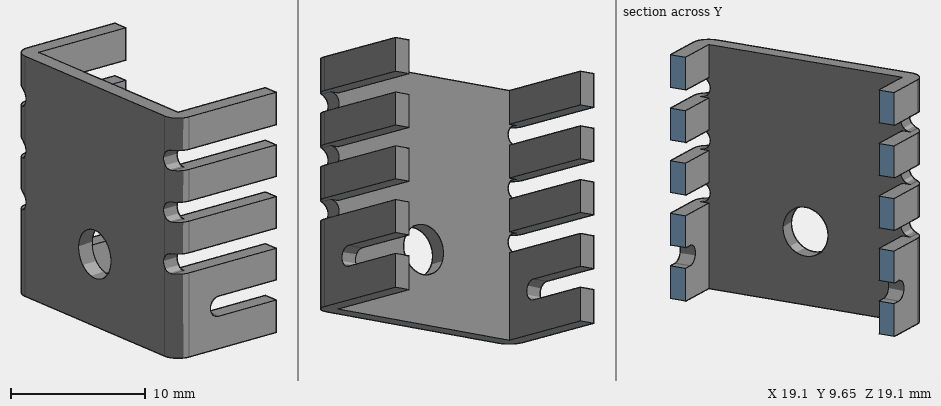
import cadquery as cq

width = 19.05
depth = 9.65
height = 19.05
thickness = 1.3

slot_count = 4
slot_width = 1.5875
slot_pitch = 4.1
notch_inset = 1.4
short_slot_length = 6.3

hole_diameter = 3.81
hole_height = 5.72

slot_radius = slot_width / 2
lowest_slot_z = height / 2 - slot_pitch * (slot_count - 1) / 2


def make_channel():
    """U channel with rounded outer bends and sharp inner corners."""
    outer = (
        cq.Workplane("XY")
        .box(width, depth, height, centered=(True, False, False))
        .edges("|Z and <Y")
        .fillet(thickness)
    )
    inner = (
        cq.Workplane("XY")
        .box(width - 2 * thickness, depth, height, centered=(True, False, False))
        .translate((0, thickness, 0))
    )
    return outer.cut(inner)


def make_wall_slot(z):
    """Square-sided slot through the full flat part of both walls."""
    return (
        cq.Workplane("XY")
        .box(width, depth - thickness, slot_width, centered=(True, False, True))
        .translate((0, thickness, z))
    )


def make_bend_notch(z, side):
    """Round-ended notch through the bend, cut in from one side face (side is -1 or +1)."""
    notch_face = cq.Workplane("XZ", origin=(0, thickness, z))
    end_centre_x = side * (width / 2 - notch_inset + slot_radius)
    straight_length = notch_inset - slot_radius
    straight_centre_x = side * (width - straight_length) / 2
    rounded_end = notch_face.center(end_centre_x, 0).circle(slot_radius).extrude(thickness)
    straight = (
        notch_face.center(straight_centre_x, 0)
        .rect(straight_length, slot_width)
        .extrude(thickness)
    )
    return straight.union(rounded_end)


def make_short_slot(z):
    """Round-ended slot along X through both walls, open at the +Y edge."""
    end_centre_y = depth - short_slot_length + slot_radius
    straight = (
        cq.Workplane("XY")
        .box(width, depth - end_centre_y, slot_width, centered=(True, False, True))
        .translate((0, end_centre_y, z))
    )
    rounded_end = (
        cq.Workplane("YZ", origin=(-width / 2, end_centre_y, z))
        .circle(slot_radius)
        .extrude(width)
    )
    return straight.union(rounded_end)


def make_mounting_hole():
    """Round hole through the base plate."""
    return (
        cq.Workplane("XZ", origin=(0, thickness, hole_height))
        .circle(hole_diameter / 2)
        .extrude(thickness)
    )


result = make_channel().cut(make_mounting_hole()).cut(make_short_slot(lowest_slot_z))
for index in range(1, slot_count):
    slot_z = lowest_slot_z + index * slot_pitch
    result = result.cut(make_wall_slot(slot_z))
    for side in (-1, 1):
        result = result.cut(make_bend_notch(slot_z, side))